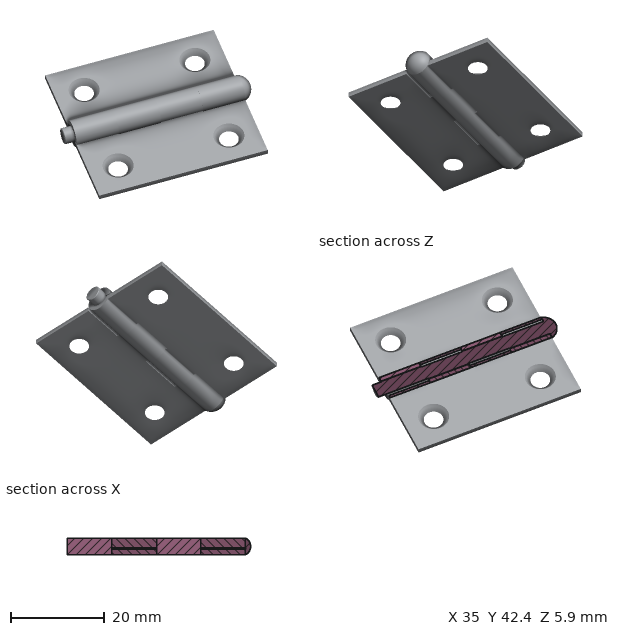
import cadquery as cq
import math


hinge_length = 42.4
hinge_width = 35.0
leaf_length = 38.0

pin_diameter = 3.5
dome_height = 2.2
pin_tip_chamfer = 0.13

sheet_thickness = 1.2
knuckle_count = 4
bend_radius = 0.3
roll_gap_angle = math.radians(7.5)

hole_spacing_x = 22.0
hole_spacing_y = 25.0
countersink_diameter = 6.6
hole_diameter = 4.2

bore_radius = pin_diameter / 2
roll_radius = bore_radius + sheet_thickness
sheet_bottom = -bore_radius
sheet_top = sheet_bottom + sheet_thickness
leaf_edge = hinge_width / 2
leaf_end = leaf_length / 2
knuckle_length = leaf_length / knuckle_count
pin_tip_length = hinge_length - leaf_length - dome_height


def polar(radius, angle):
    """Point in the XZ plane at a distance and an angle from the hinge axis."""
    return (radius * math.cos(angle), radius * math.sin(angle))


def make_flat_sheet():
    """Flat part of the right leaf, which stops beside the knuckles."""
    return (
        cq.Workplane("XY", origin=(0, 0, sheet_bottom))
        .center((roll_radius + leaf_edge) / 2, 0)
        .rect(leaf_edge - roll_radius, leaf_length)
        .extrude(sheet_thickness)
    )


def make_knuckle(start_y):
    """Strip that bends down from the flat sheet and rolls around the pin, from start_y toward +Y."""
    bend_z = sheet_bottom - bend_radius
    bend_x = math.sqrt((roll_radius + bend_radius) ** 2 - bend_z ** 2)
    outer_bend_radius = bend_radius + sheet_thickness

    join_angle = math.atan2(bend_z, bend_x)
    end_angle = -roll_gap_angle
    far_side_angle = (join_angle + end_angle) / 2 + math.pi
    bend_start_angle = math.pi / 2
    mid_bend_angle = (bend_start_angle + join_angle + math.pi) / 2

    def bend_point(radius):
        """Middle point of a bend arc."""
        dx, dz = polar(radius, mid_bend_angle)
        return (bend_x + dx, bend_z + dz)

    return (
        cq.Workplane("XZ", origin=(0, start_y, 0))
        .moveTo(roll_radius, sheet_top)
        .lineTo(bend_x, sheet_top)
        .threePointArc(bend_point(outer_bend_radius), polar(bore_radius, join_angle))
        .threePointArc(polar(bore_radius, far_side_angle), polar(bore_radius, end_angle))
        .lineTo(*polar(roll_radius, end_angle))
        .threePointArc(polar(roll_radius, far_side_angle), polar(roll_radius, join_angle))
        .threePointArc(bend_point(bend_radius), (bend_x, sheet_bottom))
        .lineTo(roll_radius, sheet_bottom)
        .close()
        .extrude(-knuckle_length)
    )


def make_right_leaf(first_knuckle):
    """Leaf on the +X side with every second knuckle, counted from 0 at the -Y end."""
    leaf = make_flat_sheet()
    for index in range(first_knuckle, knuckle_count, 2):
        leaf = leaf.union(make_knuckle(index * knuckle_length - leaf_end))

    for side in (-1, 1):
        hole_cone = cq.Solid.makeCone(
            hole_diameter / 2,
            countersink_diameter / 2,
            sheet_thickness,
            pnt=cq.Vector(hole_spacing_x / 2, side * hole_spacing_y / 2, sheet_bottom),
        )
        leaf = leaf.cut(cq.Workplane(obj=hole_cone))
    return leaf.solids()


def make_pin():
    """Pin turned about the Y axis, with a domed head at +Y and a chamfered tip at -Y."""
    tip_y = -leaf_end - pin_tip_length
    dome_top_y = leaf_end + dome_height

    dome_radius = (roll_radius ** 2 + dome_height ** 2) / (2 * dome_height)
    half_cap_angle = math.asin(roll_radius / dome_radius) / 2
    dome_mid_x = dome_radius * math.sin(half_cap_angle)
    dome_mid_y = dome_top_y - dome_radius * (1 - math.cos(half_cap_angle))

    return (
        cq.Workplane("XY")
        .moveTo(0, tip_y)
        .lineTo(bore_radius - pin_tip_chamfer, tip_y)
        .lineTo(bore_radius, tip_y + pin_tip_chamfer)
        .lineTo(bore_radius, leaf_end)
        .lineTo(roll_radius, leaf_end)
        .threePointArc((dome_mid_x, dome_mid_y), (0, dome_top_y))
        .close()
        .revolve(360, (0, 0, 0), (0, 1, 0))
    )


right_leaf = make_right_leaf(first_knuckle=0)
left_leaf = make_right_leaf(first_knuckle=1).mirror("YZ")
pin = make_pin()

result = cq.Compound.makeCompound([right_leaf.val(), left_leaf.val(), pin.val()])